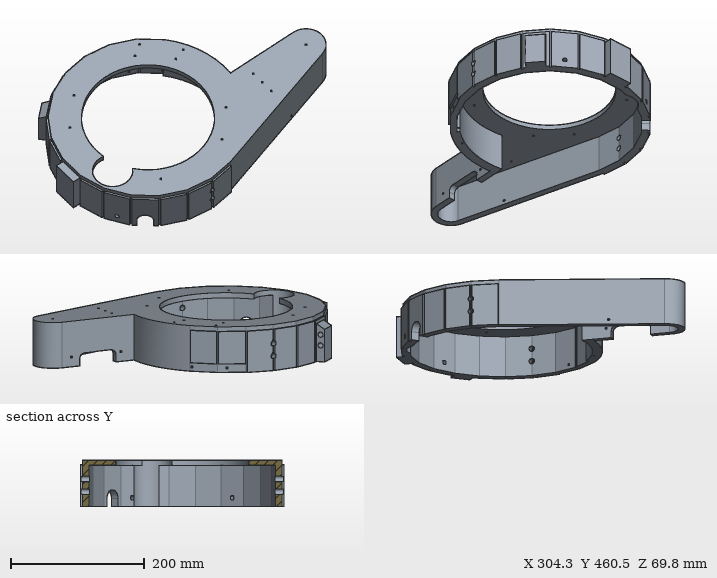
import cadquery as cq
import math

height = 69.8
plate_thickness = 8.0
wall = 10.0
ring_radius = 149.3
side_angle = 360.0 / 22
half_side_angle = math.radians(side_angle / 2)
apothem = ring_radius * math.cos(half_side_angle)
flat_count = 15
first_corner = 8 * side_angle
arc_inner_radius = 134.7

arm_radius = 30.0
arm_x = 43.3
arm_y = 270.0
arm_left = arm_x - arm_radius

bore_radius = 99.4
side_bore_radius = 30.0
side_bore_center = (44.6, -105.0)

panel_width = 40.0
panel_thickness = 3.05
panel_top = 63.0
short_panel_bottom = 13.5
short_panel_sides = (0, 1)
panel_reach = apothem + panel_thickness
front_side = 8
front_reach = 160.52
embed = 1.0

block_side = 5
block_width = 30.0
block_reach = 163.5
block_outer_top = 50.0
block_inner_top = 58.0
block_hole_diameter = 8.0
block_hole_heights = (25.1, 41.5)
block_hole_depth = 20.0

cable_side = 11
cable_diameter = 25.0

radial_hole_sides = (6, 10)
radial_hole_diameter = 6.4
radial_hole_z = 13.3

cross_diameter = 8.0
cross_heights = (22.4, 41.65)

cutout_y = 209.5
cutout_width = 61.6
cutout_height = 19.5
cutout_fillet = 9.0

wall_screw_diameter = 2.9
arm_screw_ys = (170.6, 254.4)
arm_screw_z = 15.0
low_screw_z = 6.9
low_screws = ((0, -18.2), (1, -7.2))
slant_screw_y = 198.6

plate_screw_diameter = 2.6
screw_circle_radius = 118.2
screw_angles = (30, 60, 120, 150, 210, 240, 330)
outer_screw_radius = 138.6
outer_screw_angles = (118.2, 145.8)
arm_row_x = 57.0
arm_row_y = 174.2
arm_row_pitch = 21.3


def polar(radius, angle):
    """Point at a radius and an angle in degrees around the origin."""
    return (radius * math.cos(math.radians(angle)), radius * math.sin(math.radians(angle)))


def slanted_side(corner, tip_radius):
    """Point where the line from the ring corner touches the round arm tip."""
    dx = corner[0] - arm_x
    dy = corner[1] - arm_y
    corner_angle = math.degrees(math.atan2(dy, dx))
    spread = math.degrees(math.acos(tip_radius / math.hypot(dx, dy)))
    touch = polar(tip_radius, corner_angle + spread)
    return (arm_x + touch[0], arm_y + touch[1])


def outline(inset, arc_radius):
    """Closed outline of ring and arm, moved inward by inset, with its own radius for the round wall."""
    corner_radius = ring_radius - inset / math.cos(half_side_angle)
    tip_radius = arm_radius - inset
    left_x = arm_x - tip_radius
    corners = [polar(corner_radius, first_corner + k * side_angle) for k in range(flat_count + 1)]
    arc_end_angle = math.degrees(math.acos(left_x / arc_radius))
    arc_middle_angle = (arc_end_angle + first_corner) / 2
    sketch = (
        cq.Workplane("XY")
        .polyline(corners)
        .lineTo(*slanted_side(corners[-1], tip_radius))
        .threePointArc((arm_x, arm_y + tip_radius), (left_x, arm_y))
        .lineTo(*polar(arc_radius, arc_end_angle))
        .threePointArc(polar(arc_radius, arc_middle_angle), polar(arc_radius, first_corner))
    )
    return sketch.close()


def on_side(solid, side):
    """Turn a solid built around the +X direction to face out of a flat side."""
    return solid.rotate((0, 0, 0), (0, 0, 1), first_corner + (side + 0.5) * side_angle)


def x_hole(diameter, start, length):
    """Cylinder along +X from a start point."""
    return cq.Workplane("YZ", origin=start).circle(diameter / 2).extrude(length)


def side_hole(diameter, z, offset=0.0):
    """Cylinder through the wall of the flat side facing +X."""
    return x_hole(diameter, (apothem - 2 * wall, offset, z), 3 * wall)


def shell():
    cavity = outline(wall, arc_inner_radius).extrude(height - plate_thickness)
    bore = cq.Workplane("XY").circle(bore_radius).extrude(height)
    side_bore = cq.Workplane("XY").center(*side_bore_center).circle(side_bore_radius).extrude(height)
    return outline(0, ring_radius).extrude(height).cut(cavity).cut(bore).cut(side_bore)


def panel(side):
    bottom = short_panel_bottom if side in short_panel_sides else 0.0
    reach = front_reach if side == front_side else panel_reach
    base = apothem - embed
    box = cq.Workplane("XY").box(reach - base, panel_width, panel_top - bottom, centered=(False, True, False))
    return on_side(box.translate((base, 0, bottom)), side)


def sloped_block():
    base = apothem - embed
    profile = [
        (base, 0),
        (block_reach, 0),
        (block_reach, block_outer_top),
        (panel_reach, block_inner_top),
        (base, block_inner_top),
    ]
    block = cq.Workplane("XZ").polyline(profile).close().extrude(block_width / 2, both=True)
    hole_x = (panel_reach + block_reach) / 2
    for z in block_hole_heights:
        hole = cq.Workplane("XZ", origin=(hole_x, -block_width / 2, z)).circle(block_hole_diameter / 2)
        block = block.cut(hole.extrude(-block_hole_depth))
    return on_side(block, block_side)


def cable_opening():
    radius = cable_diameter / 2
    arch = side_hole(cable_diameter, radius)
    slot = cq.Workplane("XY").box(3 * wall, cable_diameter, radius, centered=(False, True, False))
    return on_side(arch.union(slot.translate((apothem - 2 * wall, 0, 0))), cable_side)


def arm_cutout():
    box = cq.Workplane("XY").box(2 * wall, cutout_width, 2 * cutout_height)
    return box.edges("|X").fillet(cutout_fillet).translate((arm_left + wall / 2, cutout_y, 0))


def wall_screw_holes():
    holes = []
    for side, offset in low_screws:
        holes.append(on_side(side_hole(wall_screw_diameter, low_screw_z, offset), side))
    for y in arm_screw_ys:
        holes.append(x_hole(wall_screw_diameter, (arm_left - wall / 2, y, arm_screw_z), 2 * wall))
    slant_start = (arm_x + arm_radius, slant_screw_y, low_screw_z)
    holes.append(x_hole(wall_screw_diameter, slant_start, ring_radius - slant_start[0]))
    return holes


def plate_screw_holes():
    points = [polar(screw_circle_radius, angle) for angle in screw_angles]
    points += [polar(outer_screw_radius, angle) for angle in outer_screw_angles]
    points += [(arm_row_x + k * arm_row_pitch, arm_row_y) for k in (-1, 0, 1)]
    points.append((arm_x, arm_y))
    return cq.Workplane("XY").pushPoints(points).circle(plate_screw_diameter / 2).extrude(height)


body = shell()
for side_number in range(flat_count):
    body = body.union(panel(side_number))
body = body.union(sloped_block())

body = body.cut(cable_opening()).cut(arm_cutout())
for side_number in radial_hole_sides:
    body = body.cut(on_side(side_hole(radial_hole_diameter, radial_hole_z), side_number))
for cross_z in cross_heights:
    body = body.cut(x_hole(cross_diameter, (-2 * ring_radius, 0, cross_z), 4 * ring_radius))
for screw_hole in wall_screw_holes():
    body = body.cut(screw_hole)
body = body.cut(plate_screw_holes())

result = body